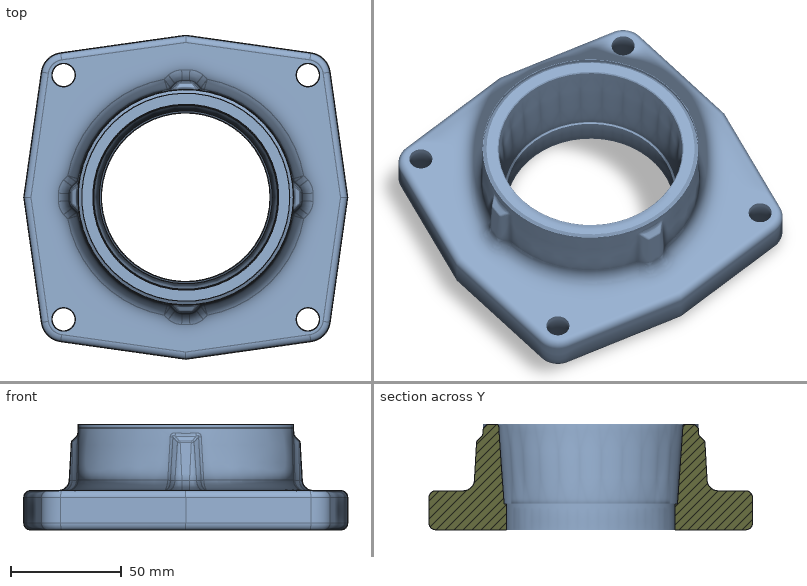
import cadquery as cq
import math

plate_reach = 73.0
plate_height = 17.8
total_height = 47.6

side_slope = 8.0
corner_radius = 10.2
plate_edge_radius = 3.2
hole_offset = 55.0
hole_diameter = 10.4

collar_radius = 48.6
collar_draft = 1.5
rim_height = 1.6
rim_start = total_height - rim_height
groove_size = rim_height
lip_thickness = 0.1
root_radius = 4.8

bore_radius = 41.5
bore_chamfer = 0.5
ledge_height = 11.8
bore_ledge_radius = 39.0
through_radius = 38.0

rib_count = 4
splay_angle = 45
rib_top = 42.8
rib_face_radius = 51.4
rib_face_draft = 3.2
rib_root_half_width = 3.7
rib_tip_half_width = 3.0
rib_root_rounding = 5.3
rib_tip_rounding = 0.5
rib_top_rounding = 1.0
rib_collar_radius = 2.2
rib_inner_radius = 45.3

wall_tolerance = 0.07


def draft_run(height, angle):
    """Sideways run of a drafted face over a height."""
    return height * math.tan(math.radians(angle))


def revolve_about_z(profile):
    """Solid of revolution from (radius, height) points."""
    return cq.Workplane("XZ").polyline(profile).close().revolve(360, (0, 0), (0, 1))


def make_plate():
    corner = plate_reach / (1 + draft_run(1, side_slope))
    outline = [
        (plate_reach, 0),
        (corner, corner),
        (0, plate_reach),
        (-corner, corner),
        (-plate_reach, 0),
        (-corner, -corner),
        (0, -plate_reach),
        (corner, -corner),
    ]
    plate = cq.Workplane("XY").polyline(outline).close().extrude(plate_height)
    for x, y in outline[1::2]:
        corner_edge = cq.selectors.NearestToPointSelector((x, y, plate_height / 2))
        plate = plate.edges("|Z").edges(corner_edge).fillet(corner_radius)
    return plate.faces("<Z or >Z").edges().fillet(plate_edge_radius)


def make_collar():
    root = collar_radius + draft_run(rim_start - plate_height, collar_draft)
    return revolve_about_z([
        (0, plate_height),
        (root, plate_height),
        (collar_radius, rim_start),
        (collar_radius, total_height),
        (0, total_height),
    ])


def add_rib_section(plane, face_radius, half_width, rounding):
    """Plan section of a rib on +X: sides splayed, face corners rounded."""
    splay = math.radians(splay_angle)
    inner_half_width = half_width + (face_radius - rib_inner_radius) / math.tan(splay)
    setback = rounding * math.tan(splay / 2)
    arc_end_x = face_radius - setback * math.sin(splay)
    arc_end_y = half_width + setback * math.cos(splay)
    arc_centre_y = half_width - setback
    arc_mid_x = face_radius - rounding + rounding * math.cos(splay / 2)
    arc_mid_y = arc_centre_y + rounding * math.sin(splay / 2)
    return (
        plane.moveTo(rib_inner_radius, -inner_half_width)
        .lineTo(arc_end_x, -arc_end_y)
        .threePointArc((arc_mid_x, -arc_mid_y), (face_radius, -arc_centre_y))
        .lineTo(face_radius, arc_centre_y)
        .threePointArc((arc_mid_x, arc_mid_y), (arc_end_x, arc_end_y))
        .lineTo(rib_inner_radius, inner_half_width)
        .close()
    )


def make_rib():
    root_face = rib_face_radius + draft_run(rib_top - plate_height, rib_face_draft)
    tip_face = rib_face_radius - draft_run(total_height - rib_top, rib_face_draft)
    root_plane = cq.Workplane("XY").workplane(offset=plate_height)
    root = add_rib_section(root_plane, root_face, rib_root_half_width, rib_root_rounding)
    tip_plane = root.workplane(offset=total_height - plate_height)
    tip = add_rib_section(tip_plane, tip_face, rib_tip_half_width, rib_tip_rounding)
    rib = tip.loft(ruled=True)
    slope_sum = rib_top + collar_radius
    above_slope = (
        cq.Workplane("XZ")
        .polyline([
            (rib_inner_radius, slope_sum - rib_inner_radius),
            (root_face, slope_sum - root_face),
            (root_face, total_height),
            (rib_inner_radius, total_height),
        ])
        .close()
        .extrude(root_face, both=True)
    )
    rib = rib.cut(above_slope)
    slope_face = cq.selectors.DirectionMinMaxSelector(cq.Vector(1, 0, 1))
    return rib.faces(slope_face).edges("not |Y or >X").fillet(rib_top_rounding)


def lies_on_collar(edge):
    """True for an edge on the drafted collar wall, between its ends."""
    for fraction in (0, 0.25, 0.5, 1):
        point = edge.positionAt(fraction)
        wall_radius = collar_radius + draft_run(rim_start - point.z, collar_draft)
        off_wall = abs(math.hypot(point.x, point.y) - wall_radius) > wall_tolerance
        if off_wall or point.z > rim_start - wall_tolerance:
            return False
    return edge.Center().z > plate_height + wall_tolerance


def make_neck():
    """Collar with its ribs blended in, standing on the plate."""
    neck = make_collar()
    for i in range(rib_count):
        neck = neck.union(make_rib().rotate((0, 0, 0), (0, 0, 1), i * 360 / rib_count))
    joints = [edge for edge in neck.edges().vals() if lies_on_collar(edge)]
    return neck.newObject(joints).fillet(rib_collar_radius)


def join_to_plate(plate, neck):
    """Union of plate and neck with the root fillet running round collar and ribs."""
    root_limit = rib_face_radius + root_radius
    root_edges = cq.selectors.BoxSelector(
        (-root_limit, -root_limit, plate_height - wall_tolerance),
        (root_limit, root_limit, plate_height + wall_tolerance),
        boundingbox=True,
    )
    return plate.union(neck).edges(root_edges).fillet(root_radius)


def make_rim_groove():
    """V groove that bevels the collar's top edge inside a thin outer lip."""
    outer = collar_radius - lip_thickness
    return revolve_about_z([
        (outer, total_height - groove_size),
        (outer, total_height),
        (outer - groove_size, total_height),
    ])


def make_bore():
    return revolve_about_z([
        (0, 0),
        (through_radius, 0),
        (through_radius, ledge_height),
        (bore_ledge_radius, ledge_height),
        (bore_radius, total_height - bore_chamfer),
        (bore_radius + bore_chamfer, total_height),
        (0, total_height),
    ])


def make_bolt_holes():
    return (
        cq.Workplane("XY")
        .rect(2 * hole_offset, 2 * hole_offset, forConstruction=True)
        .vertices()
        .circle(hole_diameter / 2)
        .extrude(plate_height)
    )


result = join_to_plate(make_plate(), make_neck())
result = result.cut(make_rim_groove()).cut(make_bore()).cut(make_bolt_holes())